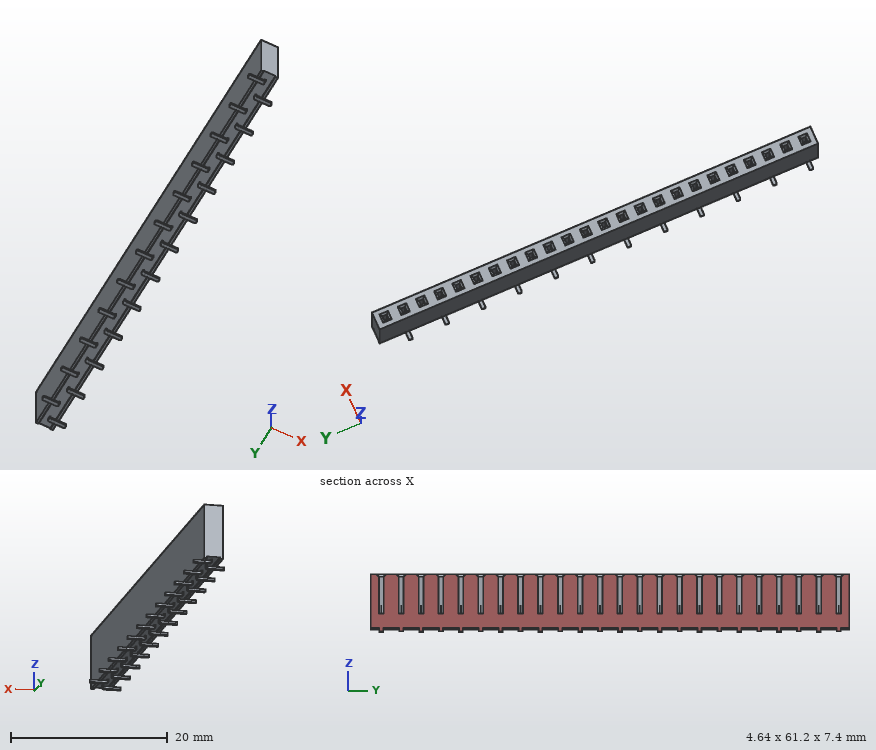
import cadquery as cq

pin_count = 24
pitch = 2.54
end_margin = 0.1
overall_height = 7.4
standoff = 0.3
housing_width = 2.45
housing_length = pin_count * pitch + 2 * end_margin

channel_width = 1.7
channel_depth = 0.2

socket_mouth = 1.2
socket_size = 0.58
lead_in_depth = 0.3
socket_depth = 5.0

blade_thickness = 0.04
blade_height = 1.0

leg_span = 4.64
leg_width = 0.53
leg_thickness = 0.3
tip_radius = 0.12
bend_radius = 0.29
riser_thickness = 0.15

housing_height = overall_height - standoff
channel_top = standoff + channel_depth


def pin_y(index):
    """Y position of a contact, counted from the -Y end."""
    return (index - (pin_count - 1) / 2) * pitch


def make_housing():
    body = cq.Workplane("XY").box(
        housing_width, housing_length, housing_height, centered=(True, True, False)
    ).translate((0, 0, standoff))
    channel = cq.Workplane("XY").box(
        channel_width, housing_length, channel_depth, centered=(True, True, False)
    ).translate((0, 0, standoff))
    return body.cut(channel)


def make_socket(y):
    lead_in = (
        cq.Workplane("XY", origin=(0, y, overall_height))
        .rect(socket_mouth, socket_mouth)
        .workplane(offset=-lead_in_depth)
        .rect(socket_size, socket_size)
        .loft(ruled=True)
    )
    bore = (
        cq.Workplane("XY", origin=(0, y, overall_height - socket_depth))
        .rect(socket_size, socket_size)
        .extrude(socket_depth - lead_in_depth)
    )
    return lead_in.union(bore)


def make_blade(y):
    return cq.Workplane("XY", origin=(0, y, overall_height - socket_depth)).box(
        socket_size, blade_thickness, blade_height, centered=(True, True, False)
    )


def make_leg(y, side):
    """L-shaped leg: a riser under the housing, bent into a foot that reaches to one side (-1 or +1).

    The outside of the bend and the upright corners of the foot's tip are rounded.
    """
    tip = side * leg_span / 2
    riser_back = -side * riser_thickness / 2
    riser_front = side * riser_thickness / 2
    bend_end = riser_back + side * bend_radius
    tip_face = ">X" if side > 0 else "<X"
    return (
        cq.Workplane("XZ", origin=(0, y + leg_width / 2, 0))
        .moveTo(tip, 0)
        .lineTo(tip, leg_thickness)
        .lineTo(riser_front, leg_thickness)
        .lineTo(riser_front, channel_top)
        .lineTo(riser_back, channel_top)
        .lineTo(riser_back, bend_radius)
        .tangentArcPoint((bend_end, 0), relative=False)
        .close()
        .extrude(leg_width)
        .faces(tip_face)
        .edges("|Z")
        .fillet(tip_radius)
    )


def gather(parts):
    """Collect separate bodies into one compound, so they are cut or joined in a single step."""
    return cq.Compound.makeCompound([part.val() for part in parts])


contact_rows = [pin_y(index) for index in range(pin_count)]
leg_sides = [-1 if index % 2 == 0 else 1 for index in range(pin_count)]

sockets = [make_socket(y) for y in contact_rows]
blades = [make_blade(y) for y in contact_rows]
legs = [make_leg(y, side) for y, side in zip(contact_rows, leg_sides)]

result = make_housing().cut(gather(sockets)).union(gather(blades + legs))